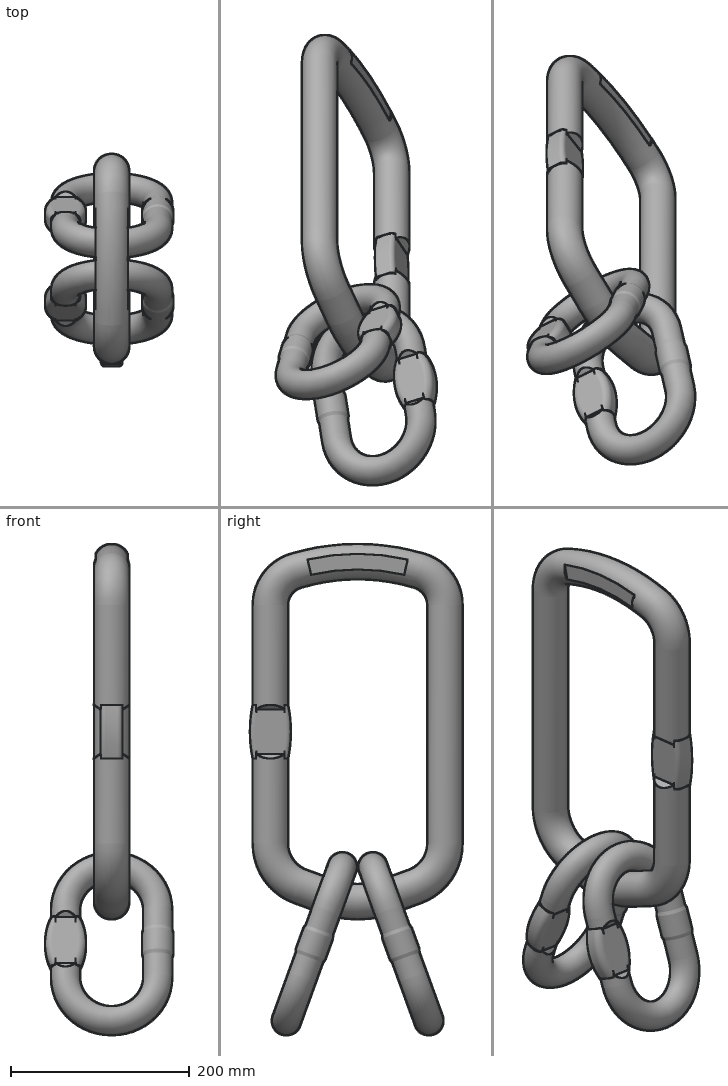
import cadquery as cq
import math

master_bar_diameter = 40.0
master_inner_width = 155.0
master_inner_length = 340.0
top_corner_radius = 40.0
top_bow_radius = 240.0
bottom_corner_radius = 51.0
bottom_bow_radius = 96.0

bow_flat_distance = 18.0
bow_flat_half_angle = 13.0

link_bar_diameter = 33.0
link_inner_width = 70.0
link_straight_length = 80.0
link_tilt = 20.0
link_center_y = 48.3
link_center_z = -236.95

ring_diameter = 35.48
ring_length = 33.0
ring_taper_length = 4.0

weld_half_thickness = 12.3
master_weld_half_width = 23.11
master_weld_length = 60.0
master_weld_edge_radius = 5.6
master_cheek_length = 49.5
master_recess_length = 60.0
link_weld_half_width = 23.1
link_weld_length = 58.0
link_weld_edge_radius = 7.8
link_cheek_length = 54.5
link_recess_length = 66.0

master_bar_radius = master_bar_diameter / 2
link_bar_radius = link_bar_diameter / 2
master_leg_x = master_inner_width / 2 + master_bar_radius
link_leg_x = link_inner_width / 2 + link_bar_radius
master_half_length = master_inner_length / 2 + master_bar_radius



def end_points(corner_radius, bow_radius, slope, up):
    """Right half of one end of the master link; up is 1 at the top and -1 at the bottom.

    The corner turns until it lies at the slope angle, a straight run follows, and the
    bow closes the end. Returns leg end, corner middle, corner end, bow start and crown.
    """
    corner_turn = math.pi / 2 - slope
    corner_center_x = master_leg_x - corner_radius
    corner_end_x = corner_center_x + corner_radius * math.sin(slope)
    bow_start_x = bow_radius * math.sin(slope)
    bow_start_z = master_half_length - bow_radius * (1 - math.cos(slope))
    corner_end_z = bow_start_z - (corner_end_x - bow_start_x) * math.tan(slope)
    leg_end_z = corner_end_z - corner_radius * math.cos(slope)
    corner_middle = (
        corner_center_x + corner_radius * math.cos(corner_turn / 2),
        up * (leg_end_z + corner_radius * math.sin(corner_turn / 2)),
    )
    return (
        (master_leg_x, up * leg_end_z),
        corner_middle,
        (corner_end_x, up * corner_end_z),
        (bow_start_x, up * bow_start_z),
        (0, up * master_half_length),
    )


def mirrored(point):
    return (-point[0], point[1])


def swept_bar(path, bar_radius, start_x, start_z):
    """Round bar along a closed path that starts upwards at the given point of the +X leg."""
    return cq.Workplane("XY", origin=(start_x, 0, start_z)).circle(bar_radius).sweep(path)


def weld_plate(half_width, length, end_half_width, edge_radius):
    """Flat plate with two bulging rounded edges, the overlap of two round-rimmed discs."""
    bulge = half_width - end_half_width
    disc_radius = ((length / 2) ** 2 + bulge**2) / (2 * bulge)
    face_radius = disc_radius - edge_radius
    rim_half_thickness = weld_half_thickness - edge_radius
    arc_offset = edge_radius * math.sqrt(0.5)
    disc = (
        cq.Workplane("XY")
        .moveTo(0, -weld_half_thickness)
        .lineTo(face_radius, -weld_half_thickness)
        .threePointArc(
            (face_radius + arc_offset, -rim_half_thickness - arc_offset),
            (disc_radius, -rim_half_thickness),
        )
        .lineTo(disc_radius, rim_half_thickness)
        .threePointArc(
            (face_radius + arc_offset, rim_half_thickness + arc_offset),
            (face_radius, weld_half_thickness),
        )
        .lineTo(0, weld_half_thickness)
        .close()
        .revolve(360, (0, 0, 0), (0, 1, 0))
    )
    center_offset = disc_radius - half_width
    trim = cq.Workplane("XY").box(2 * half_width, 2 * weld_half_thickness, length)
    return (
        disc.translate((center_offset, 0, 0))
        .intersect(disc.translate((-center_offset, 0, 0)))
        .intersect(trim)
    )


def cheek_recess(bar_radius, cheek_length, recess_length, side):
    """Cut that flattens one side of the bar, with sloping end walls; side is 1 or -1."""
    return (
        cq.Workplane("YZ")
        .polyline(
            [
                (side * weld_half_thickness, -cheek_length / 2),
                (side * weld_half_thickness, cheek_length / 2),
                (side * bar_radius, recess_length / 2),
                (side * bar_radius, -recess_length / 2),
            ]
        )
        .close()
        .extrude(bar_radius, both=True)
    )


def add_weld(body, leg_x, bar_radius, plate, cheek_length, recess_length):
    """Flatten the -X leg on both sides and add the bulging weld plate."""
    leg_center = (-leg_x, 0, 0)
    for side in (1, -1):
        recess = cheek_recess(bar_radius, cheek_length, recess_length, side)
        body = body.cut(recess.translate(leg_center))
    return body.union(plate.translate(leg_center))


def master_bar():
    top_slope = math.asin((master_leg_x - top_corner_radius) / (top_bow_radius - top_corner_radius))
    leg_top, top_middle, top_bow_start, _, top_crown = end_points(
        top_corner_radius, top_bow_radius, top_slope, 1
    )
    leg_bottom, bottom_middle, bottom_corner_end, bottom_bow_start, bottom_crown = end_points(
        bottom_corner_radius, bottom_bow_radius, math.radians(link_tilt), -1
    )
    path = (
        cq.Workplane("XZ")
        .moveTo(*leg_bottom)
        .lineTo(*leg_top)
        .threePointArc(top_middle, top_bow_start)
        .threePointArc(top_crown, mirrored(top_bow_start))
        .threePointArc(mirrored(top_middle), mirrored(leg_top))
        .lineTo(*mirrored(leg_bottom))
        .threePointArc(mirrored(bottom_middle), mirrored(bottom_corner_end))
        .lineTo(*mirrored(bottom_bow_start))
        .threePointArc(bottom_crown, bottom_bow_start)
        .lineTo(*bottom_corner_end)
        .threePointArc(bottom_middle, leg_bottom)
        .close()
    )
    return swept_bar(path, master_bar_radius, *leg_bottom)


def bow_flat_cut(side):
    """Sector of a thick ring that shaves one side of the top bow; side is 1 or -1."""
    depth = master_bar_radius - bow_flat_distance
    return (
        cq.Workplane("XY")
        .center(top_bow_radius, side * (bow_flat_distance + depth / 2))
        .rect(2 * master_bar_radius, depth)
        .revolve(2 * bow_flat_half_angle, (-top_bow_radius, 0, 0), (-top_bow_radius, 1, 0))
        .rotate((0, 0, 0), (0, 1, 0), -90 - bow_flat_half_angle)
        .translate((0, 0, master_half_length - top_bow_radius))
    )


def make_master_link():
    body = master_bar()
    for side in (1, -1):
        body = body.cut(bow_flat_cut(side))
    plate = weld_plate(
        master_weld_half_width, master_weld_length, master_bar_radius, master_weld_edge_radius
    )
    body = add_weld(
        body, master_leg_x, master_bar_radius, plate, master_cheek_length, master_recess_length
    )
    return body.rotate((0, 0, 0), (0, 0, 1), 90)


def upset_ring():
    """Thickened ring with tapered ends around the +X leg."""
    half_length = ring_length / 2
    full_half_length = half_length - ring_taper_length
    return (
        cq.Workplane("XZ")
        .polyline(
            [
                (0, -half_length),
                (link_bar_radius, -half_length),
                (ring_diameter / 2, -full_half_length),
                (ring_diameter / 2, full_half_length),
                (link_bar_radius, half_length),
                (0, half_length),
            ]
        )
        .close()
        .revolve(360, (0, 0, 0), (0, 1, 0))
        .translate((link_leg_x, 0, 0))
    )


def make_coupling_link(side):
    """One coupling link, leaning in towards the middle of the bottom bow; side is 1 or -1."""
    half_straight = link_straight_length / 2
    arc_top = half_straight + link_leg_x
    path = (
        cq.Workplane("XZ")
        .moveTo(link_leg_x, -half_straight)
        .lineTo(link_leg_x, half_straight)
        .threePointArc((0, arc_top), (-link_leg_x, half_straight))
        .lineTo(-link_leg_x, -half_straight)
        .threePointArc((0, -arc_top), (link_leg_x, -half_straight))
        .close()
    )
    body = swept_bar(path, link_bar_radius, link_leg_x, -half_straight).union(upset_ring())
    plate = weld_plate(link_weld_half_width, link_weld_length, link_bar_radius, link_weld_edge_radius)
    body = add_weld(body, link_leg_x, link_bar_radius, plate, link_cheek_length, link_recess_length)
    return body.rotate((0, 0, 0), (1, 0, 0), side * link_tilt).translate(
        (0, side * link_center_y, link_center_z)
    )


master_link = make_master_link()
coupling_links = [make_coupling_link(side) for side in (1, -1)]

result = cq.Compound.makeCompound([master_link.val(), *[link.val() for link in coupling_links]])